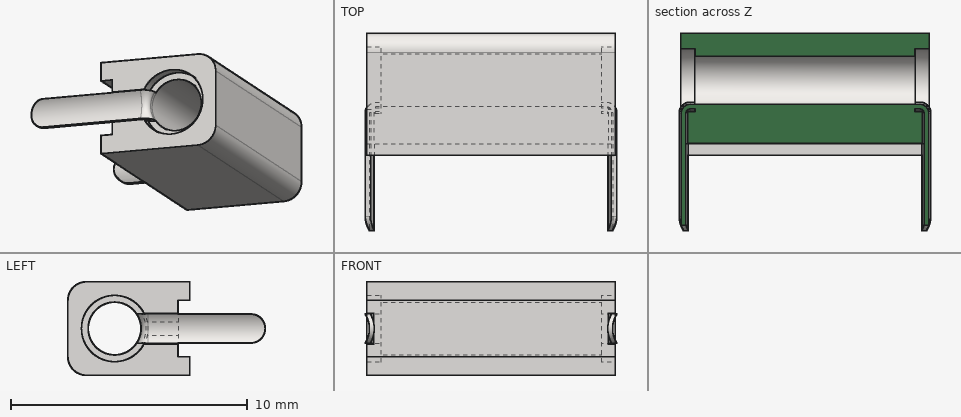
import cadquery as cq
import math

body_length = 10.5
body_height = 3.96
body_depth = 5.16
corner_radius = 0.8
back_y = body_height / 2
front_y = back_y - body_depth

channel_height = 2.37
channel_depth = 0.5
channel_floor_y = front_y + channel_depth

bore_radius = 1.11
counterbore_radius = 1.4
counterbore_depth = 0.6
counterbore_floor_x = body_length / 2 - counterbore_depth

overall_length = 10.63
overall_depth = 8.34
lead_width = 1.23
lead_thickness = 0.2
bend_radius = counterbore_radius - bore_radius
lead_tip_y = back_y - overall_depth
lead_outer_radius = bore_radius + lead_thickness

edge_bend_radius = counterbore_radius - math.sqrt(bore_radius**2 - (lead_width / 2) ** 2)
bend_start_x = overall_length / 2 - edge_bend_radius

slot_clearance = 0.04
slot_height = lead_width + 2 * slot_clearance
lead_bedding = 0.03
slot_floor_x = bend_start_x + bend_radius - lead_thickness + lead_bedding


def box_between(x_range, y_range, z_size):
    """Box spanning two X and two Y positions, centred on Z = 0."""
    x_size = x_range[1] - x_range[0]
    y_size = y_range[1] - y_range[0]
    corner = cq.Vector(x_range[0], y_range[0], -z_size / 2)
    return cq.Workplane(obj=cq.Solid.makeBox(x_size, y_size, z_size, corner))


def make_body():
    """Bar with rounded back edges, front channel and through bore."""
    half_length = body_length / 2
    body = box_between((-half_length, half_length), (front_y, back_y), body_height)
    body = body.edges("|X and >Y").fillet(corner_radius)
    channel = box_between((-half_length, half_length), (front_y, channel_floor_y), channel_height)
    bore = cq.Workplane("YZ").circle(bore_radius).extrude(half_length, both=True)
    return body.cut(channel).cut(bore)


def make_end_recess():
    """Counterbore and lead slot at the +X end."""
    counterbore = (
        cq.Workplane("YZ", origin=(counterbore_floor_x, 0, 0))
        .circle(counterbore_radius)
        .extrude(counterbore_depth)
    )
    slot = box_between((slot_floor_x, body_length / 2), (front_y, -bore_radius), slot_height)
    return counterbore.union(slot)


def strip_section(workplane):
    """Draw the lead section: a piece of tube wall cut to the lead width.

    The first local axis points from the tube wall towards the tube axis, the
    second runs across the strip, and the origin lies on the bend axis.
    """
    half_width = lead_width / 2
    inner_edge = counterbore_radius - math.sqrt(bore_radius**2 - half_width**2)
    outer_edge = counterbore_radius - math.sqrt(lead_outer_radius**2 - half_width**2)
    inner_middle = bend_radius
    outer_middle = bend_radius - lead_thickness
    return (
        workplane.moveTo(inner_edge, -half_width)
        .threePointArc((inner_middle, 0), (inner_edge, half_width))
        .lineTo(outer_edge, half_width)
        .threePointArc((outer_middle, 0), (outer_edge, -half_width))
        .close()
    )


def make_lead():
    """Lead at the +X end: short root on the counterbore floor, quarter bend, round-tipped run."""
    bend_axis = (bend_start_x, -counterbore_radius, 0)
    straight_plane = cq.Plane(origin=bend_axis, xDir=(1, 0, 0), normal=(0, -1, 0))
    straight_length = -counterbore_radius - lead_tip_y
    straight = strip_section(cq.Workplane(straight_plane)).extrude(straight_length)

    tip_radius = lead_width / 2
    tip_centre_y = lead_tip_y + tip_radius
    envelope = (
        cq.Workplane("YZ")
        .moveTo(-counterbore_radius, tip_radius)
        .lineTo(tip_centre_y, tip_radius)
        .threePointArc((lead_tip_y, 0), (tip_centre_y, -tip_radius))
        .lineTo(-counterbore_radius, -tip_radius)
        .close()
        .extrude(overall_length)
    )
    straight = straight.intersect(envelope)

    bend_plane = cq.Plane(origin=bend_axis, xDir=(0, 1, 0), normal=(1, 0, 0))
    bend = strip_section(cq.Workplane(bend_plane)).revolve(90, (0, 0, 0), (0, -1, 0))

    root = strip_section(cq.Workplane(bend_plane)).extrude(counterbore_floor_x - bend_start_x)
    return straight.union(bend).union(root)


end_recess = make_end_recess()
lead = make_lead()

body = make_body().cut(end_recess).cut(end_recess.mirror("YZ"))

result = body.union(lead, clean=False).union(lead.mirror("YZ"), clean=False).solids()